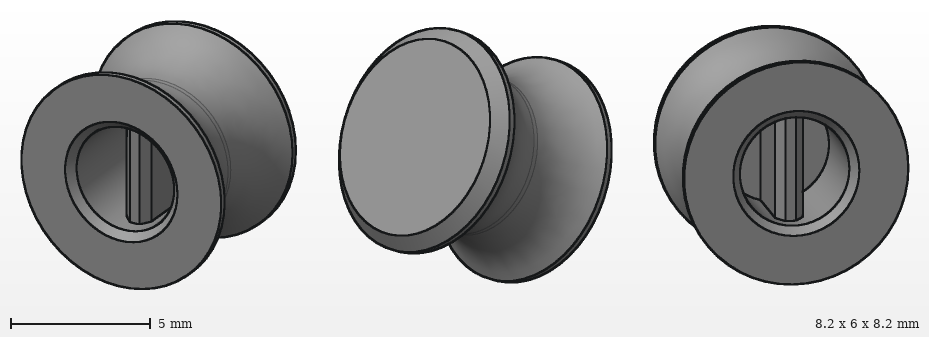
import cadquery as cq

rim_radius = 4.1
width = 6.0
rim_width = 0.255
back_chamfer = 0.5
neck_radius = 2.9
neck_width = 0.2
groove_arc_radius = 3.0

socket_radius = 2.0
socket_depth = 4.0
socket_chamfer = 0.3
key_width = 1.02
key_tip_width = 0.39
key_tip_depth = 1.0
key_bevel = (key_width - key_tip_width) / 2

front_y = -width / 2
back_y = width / 2
groove_front_y = front_y + rim_width
groove_back_y = back_y - back_chamfer - rim_width
neck_center_y = (groove_front_y + groove_back_y) / 2
neck_front_y = neck_center_y - neck_width / 2
neck_back_y = neck_center_y + neck_width / 2
floor_y = front_y + socket_depth


def roller_body():
    """Revolve the half section, with radius along X, about the Y axis."""
    return (
        cq.Workplane("XY")
        .moveTo(0, front_y)
        .lineTo(rim_radius, front_y)
        .lineTo(rim_radius, groove_front_y)
        .radiusArc((neck_radius, neck_front_y), groove_arc_radius)
        .lineTo(neck_radius, neck_back_y)
        .radiusArc((rim_radius, groove_back_y), groove_arc_radius)
        .lineTo(rim_radius, back_y - back_chamfer)
        .lineTo(rim_radius - back_chamfer, back_y)
        .lineTo(0, back_y)
        .close()
        .revolve(360, (0, 0, 0), (0, 1, 0))
    )


def socket():
    """Blind round socket with a chamfered mouth."""
    return (
        cq.Workplane("XY")
        .moveTo(0, front_y)
        .lineTo(socket_radius + socket_chamfer, front_y)
        .lineTo(socket_radius, front_y + socket_chamfer)
        .lineTo(socket_radius, floor_y)
        .lineTo(0, floor_y)
        .close()
        .revolve(360, (0, 0, 0), (0, 1, 0))
    )


def driving_key():
    """Bar across the socket floor with straight flanks and a bevelled flat tip."""
    tip_y = front_y + key_tip_depth
    shoulder_y = tip_y + key_bevel
    key_section = [
        (-key_width / 2, floor_y),
        (-key_width / 2, shoulder_y),
        (-key_tip_width / 2, tip_y),
        (key_tip_width / 2, tip_y),
        (key_width / 2, shoulder_y),
        (key_width / 2, floor_y),
    ]
    return (
        cq.Workplane("XY")
        .polyline(key_section)
        .close()
        .extrude(socket_radius, both=True)
    )


result = roller_body().cut(socket().cut(driving_key()))